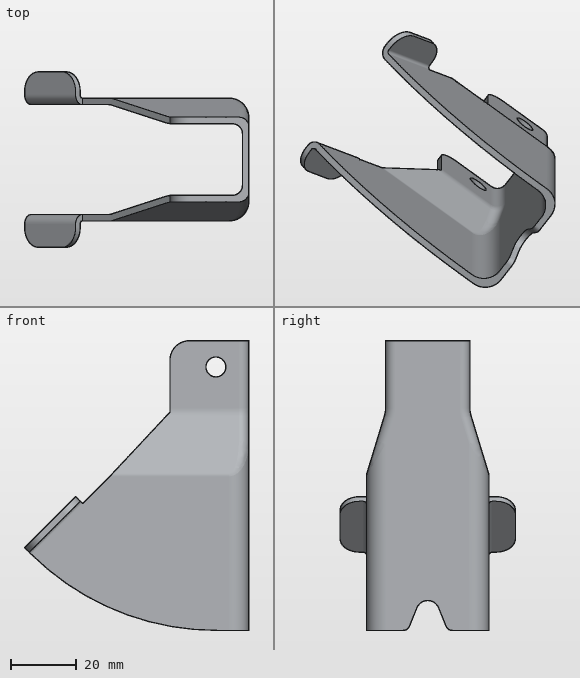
import cadquery as cq
import math

HEIGHT = 88.1
SHEET = 2.0
LOWER_HALF_WIDTH = 18.7
UPPER_HALF_WIDTH = 12.9
LOWER_CORNER_RADIUS = 6.0
UPPER_CORNER_RADIUS = 3.0

LOWER_FOLD_Z = 47.2
UPPER_FOLD_Z = 66.3
UPPER_FOLD_RADIUS = 7.5
LEAN_ANGLE = math.atan2(LOWER_HALF_WIDTH - UPPER_HALF_WIDTH, UPPER_FOLD_Z - LOWER_FOLD_Z)

TOE_X = -66.1
TOE_Z = 23.1
FRONT_SLOPE = math.radians(45)
BOTTOM_ARC_RADIUS = 81.0
BOTTOM_ARC_START_X = -9.7
EAR_FRONT_X = -24.05
EAR_CORNER_RADIUS = 6.0
HOLE_DIAMETER = 6.0
HOLE_X = -10.0
HOLE_Z = 80.1

FLANGE_LENGTH = 21.9
FLANGE_HALF_SPAN = 26.7
FLANGE_BEND_RADIUS = 1.0
FLANGE_CORNER_RADIUS = 6.0

NOTCH_HEIGHT = 9.1
NOTCH_BASE_HALF_WIDTH = 6.1
NOTCH_FLANK_ANGLE = math.radians(22.5)
NOTCH_TOP_RADIUS = 3.5
NOTCH_MOUTH_RADIUS = 2.0

REACH = 88.1
END_MARGIN = 17.6
FOLD_PICK_MARGIN = 0.9


def tapered_block(inset):
    """Solid block, longer than the part, bounded by the channel walls moved inward by inset.

    A core set back by the upper corner radius is grown by that radius, which rounds
    the upper corners, the lower folds and the leaning edges where the corners change size.
    """
    setback = inset + UPPER_CORNER_RADIUS
    lower = LOWER_HALF_WIDTH - setback
    upper = UPPER_HALF_WIDTH - setback
    fold_shift = setback * math.tan(LEAN_ANGLE / 2)
    lower_z = LOWER_FOLD_Z - fold_shift
    upper_z = UPPER_FOLD_Z - fold_shift
    bottom = -END_MARGIN
    top = HEIGHT + END_MARGIN

    tapered_core = (
        cq.Workplane("YZ", origin=(-setback, 0, 0))
        .polyline([
            (-lower, bottom), (lower, bottom), (lower, lower_z), (upper, upper_z),
            (upper, top), (-upper, top), (-upper, upper_z), (-lower, lower_z),
        ])
        .close()
        .extrude(-REACH)
    )
    upper_folds = cq.selectors.BoxSelector(
        (-REACH, -REACH, upper_z - FOLD_PICK_MARGIN),
        (REACH, REACH, upper_z + FOLD_PICK_MARGIN),
    )
    tapered_core = (
        tapered_core.edges("|X").edges(upper_folds)
        .fillet(UPPER_FOLD_RADIUS + setback)
    )
    rounded_box = (
        cq.Workplane("XY", origin=(-setback - REACH, 0, bottom))
        .box(REACH, 2 * lower, top - bottom, centered=(False, True, False))
        .edges("|Z and >X")
        .fillet(LOWER_CORNER_RADIUS - UPPER_CORNER_RADIUS)
    )
    core = tapered_core.intersect(rounded_box)
    return core.shell(UPPER_CORNER_RADIUS).union(core)


def side_outline():
    """Side silhouette, extruded across the full width."""
    lower_front_x = TOE_X + (LOWER_FOLD_Z - TOE_Z) / math.tan(FRONT_SLOPE)
    half_angle = math.asin((BOTTOM_ARC_START_X - TOE_X) / BOTTOM_ARC_RADIUS) / 2
    arc_middle = (
        BOTTOM_ARC_START_X - BOTTOM_ARC_RADIUS * math.sin(half_angle),
        BOTTOM_ARC_RADIUS * (1 - math.cos(half_angle)),
    )
    return (
        cq.Workplane("XZ")
        .moveTo(0, 0)
        .lineTo(BOTTOM_ARC_START_X, 0)
        .threePointArc(arc_middle, (TOE_X, TOE_Z))
        .lineTo(lower_front_x, LOWER_FOLD_Z)
        .lineTo(EAR_FRONT_X, UPPER_FOLD_Z)
        .lineTo(EAR_FRONT_X, HEIGHT - EAR_CORNER_RADIUS)
        .radiusArc((EAR_FRONT_X + EAR_CORNER_RADIUS, HEIGHT), EAR_CORNER_RADIUS)
        .lineTo(0, HEIGHT)
        .close()
        .extrude(REACH, both=True)
    )


def flange():
    """Flange on the +Y wall, bent outward from the sloped front edge."""
    wall_inner_y = LOWER_HALF_WIDTH - SHEET
    outer_radius = FLANGE_BEND_RADIUS + SHEET
    diagonal = math.sqrt(0.5)
    slope_plane = cq.Plane(
        origin=(TOE_X, 0, TOE_Z),
        xDir=(0, 1, 0),
        normal=(math.cos(FRONT_SLOPE), 0, math.sin(FRONT_SLOPE)),
    )
    bend_x = wall_inner_y + outer_radius
    bent_sheet = (
        cq.Workplane(slope_plane)
        .moveTo(wall_inner_y, 0)
        .threePointArc(
            (bend_x - outer_radius * diagonal, outer_radius * diagonal),
            (bend_x, outer_radius),
        )
        .lineTo(FLANGE_HALF_SPAN, outer_radius)
        .lineTo(FLANGE_HALF_SPAN, FLANGE_BEND_RADIUS)
        .lineTo(bend_x, FLANGE_BEND_RADIUS)
        .threePointArc(
            (bend_x - FLANGE_BEND_RADIUS * diagonal, FLANGE_BEND_RADIUS * diagonal),
            (LOWER_HALF_WIDTH, 0),
        )
        .close()
        .extrude(FLANGE_LENGTH)
    )
    across_sheet = cq.Vector(-math.sin(FRONT_SLOPE), 0, math.cos(FRONT_SLOPE))
    return (
        bent_sheet.faces(">Y")
        .edges(cq.selectors.ParallelDirSelector(across_sheet))
        .fillet(FLANGE_CORNER_RADIUS)
    )


def back_notch():
    """Round-topped, flared notch at the bottom of the back wall."""
    flank_tangent = math.tan((math.pi / 2 - NOTCH_FLANK_ANGLE) / 2)
    mouth_half_width = NOTCH_BASE_HALF_WIDTH + NOTCH_MOUTH_RADIUS * flank_tangent
    mouth_x = NOTCH_BASE_HALF_WIDTH - NOTCH_MOUTH_RADIUS * flank_tangent * math.sin(NOTCH_FLANK_ANGLE)
    mouth_z = NOTCH_MOUTH_RADIUS * (1 - math.sin(NOTCH_FLANK_ANGLE))
    crown_half_width = NOTCH_TOP_RADIUS * math.cos(NOTCH_FLANK_ANGLE)
    crown_z = NOTCH_HEIGHT - NOTCH_TOP_RADIUS * (1 - math.sin(NOTCH_FLANK_ANGLE))
    return (
        cq.Workplane("YZ")
        .moveTo(-mouth_half_width, 0)
        .radiusArc((-mouth_x, mouth_z), -NOTCH_MOUTH_RADIUS)
        .lineTo(-crown_half_width, crown_z)
        .threePointArc((0, NOTCH_HEIGHT), (crown_half_width, crown_z))
        .lineTo(mouth_x, mouth_z)
        .radiusArc((mouth_half_width, 0), -NOTCH_MOUTH_RADIUS)
        .close()
        .extrude(-2 * SHEET)
    )


def ear_holes():
    """Cross hole through both ears."""
    return (
        cq.Workplane("XZ")
        .center(HOLE_X, HOLE_Z)
        .circle(HOLE_DIAMETER / 2)
        .extrude(REACH, both=True)
    )


channel = tapered_block(0).cut(tapered_block(SHEET)).intersect(side_outline())
flange_plus_y = flange()
flange_minus_y = flange_plus_y.mirror("XZ")
result = channel.union(flange_plus_y).union(flange_minus_y).cut(back_notch()).cut(ear_holes())